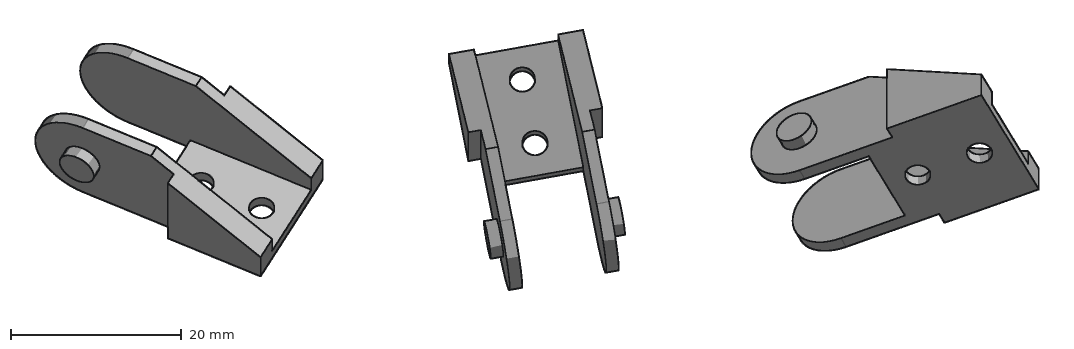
import cadquery as cq

length = 30.5
width = 16.0
height = 12.5

thickness = 1.5

nose_radius = height / 2
slope_start_x = 15.28
tail_height = 3.75
pad_start_x = 18.27

floor_start_x = 14.55
hole_diameter = 3.0
first_hole_x = 18.55
hole_spacing = 8.0

pin_diameter = 4.5

plate_outer_y = width / 2 - thickness
plate_inner_y = plate_outer_y - thickness


def side_profile():
    """Plate outline in XZ: round nose, flat top and a slope down to the tail."""
    return (
        cq.Workplane("XZ")
        .moveTo(nose_radius, 0)
        .lineTo(length, 0)
        .lineTo(length, tail_height)
        .lineTo(slope_start_x, height)
        .lineTo(nose_radius, height)
        .threePointArc((0, nose_radius), (nose_radius, 0))
        .close()
    )


def front_side():
    """Side on -Y: plate, thickened rear pad and pivot pin."""
    outer_reach = width / 2
    plate = side_profile().extrude(thickness).translate((0, -plate_inner_y, 0))

    pad_limits = cq.Workplane("XY").box(
        length - pad_start_x, width, height, centered=(False, True, False)
    ).translate((pad_start_x, 0, 0))
    pad = (
        side_profile()
        .extrude(outer_reach - plate_inner_y)
        .translate((0, -plate_inner_y, 0))
        .intersect(pad_limits)
    )

    pin = (
        cq.Workplane("XZ", origin=(nose_radius, -plate_inner_y, nose_radius))
        .circle(pin_diameter / 2)
        .extrude(outer_reach - plate_inner_y)
    )
    return plate.union(pad).union(pin)


def floor():
    """Floor joining the two sides, with a row of through holes."""
    slab = cq.Workplane("XY").box(
        length - floor_start_x, 2 * plate_inner_y, thickness, centered=(False, True, False)
    ).translate((floor_start_x, 0, 0))
    holes = (
        cq.Workplane("XY")
        .pushPoints([(first_hole_x, 0), (first_hole_x + hole_spacing, 0)])
        .circle(hole_diameter / 2)
        .extrude(thickness)
    )
    return slab.cut(holes)


side = front_side()
result = floor().union(side).union(side.mirror("XZ"))